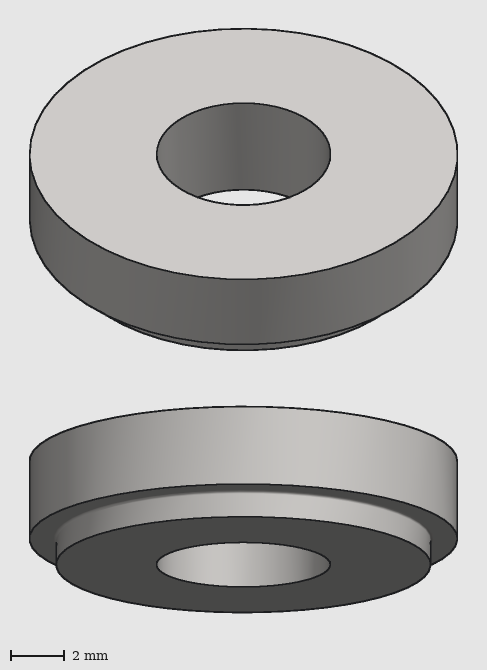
import cadquery as cq

flange_diameter = 16
spigot_diameter = 14.0
bore_diameter = 6.5
total_height = 4
root_fillet_radius = 0.1

spigot_height = total_height / 4
flange_height = total_height - spigot_height

spigot = cq.Workplane("XY").circle(spigot_diameter / 2).extrude(spigot_height)
flange = (
    cq.Workplane("XY")
    .workplane(offset=spigot_height)
    .circle(flange_diameter / 2)
    .extrude(flange_height)
)
body = spigot.union(flange)

smallest_circle = cq.selectors.RadiusNthSelector(0)
flange_underside = body.faces("<Z[1]")
body = flange_underside.edges(smallest_circle).fillet(root_fillet_radius)

bore = cq.Workplane("XY").circle(bore_diameter / 2).extrude(total_height)

result = body.cut(bore)